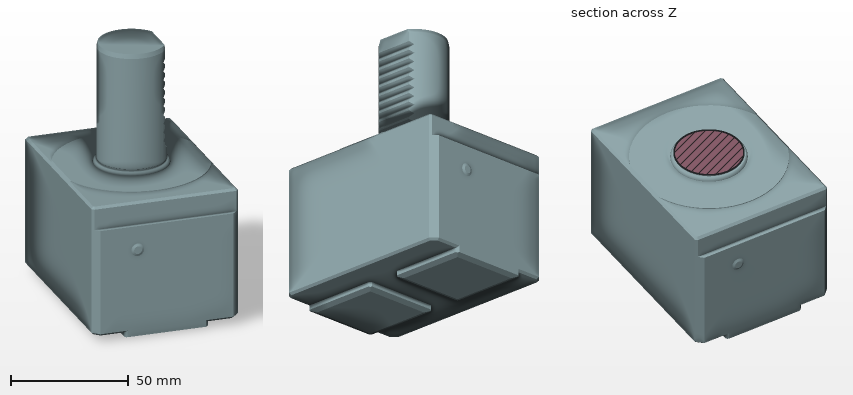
import cadquery as cq
import math


shank_radius = 15.0
shank_height = 55.0
shank_lead_in_height = 2.0
shank_lead_in_depth = 0.54

relief_top = 2.4
relief_bottom = 1.6
relief_depth = 0.15
ring_radius = 16.5
ring_section_radius = 2.0

flat_offset = 12.0
tooth_depth = 1.5
tooth_pitch = 4.0
tooth_gap_count = 10
lowest_gap_height = 11.7
flat_runout_bottom = 5.8

body_length = 90.0
body_width = 66.0
body_top = -0.4
body_bottom = -59.0
corner_chamfer = 3.0
edge_chamfer = 1.0
side_step_depth = 2.0
side_step_bottom = -10.7

seat_radius = 34.0
seat_width = body_width - 2 * edge_chamfer

cap_size = 37.6
cap_corner_chamfer = 1.1
cap_top = -57.2
cap_bottom = -62.0
cap_edge_height = 1.0
cap_edge_inset = 2.7
cap_center_x = (body_length - cap_size) / 2

nozzle_diameter = 5.7
nozzle_tip_diameter = 3.5
nozzle_projection = 0.565
nozzle_offset_y = 13.2
nozzle_height = -21.5


def make_body():
    """Block with chamfered corners and edges, stepped in at the top of both ends."""
    height = body_top - body_bottom
    block = (
        cq.Workplane("XY", origin=(0, 0, body_bottom))
        .rect(body_length, body_width)
        .extrude(height)
        .edges("|Z")
        .chamfer(corner_chamfer)
        .faces("<Z")
        .chamfer(edge_chamfer)
    )
    step_height = body_top - side_step_bottom
    step_center_x = (body_length - side_step_depth) / 2
    steps = (
        cq.Workplane("XY", origin=(0, 0, side_step_bottom))
        .pushPoints([(-step_center_x, 0), (step_center_x, 0)])
        .rect(side_step_depth, body_width)
        .extrude(step_height)
    )
    return block.cut(steps).faces(">Z").chamfer(edge_chamfer)


def make_seat():
    """Thin round seating face, trimmed so that the long edge chamfers of the body run up its sides."""
    seat_height = -body_top
    disc = cq.Workplane("XY", origin=(0, 0, body_top)).circle(seat_radius).extrude(seat_height)
    trim = (
        cq.Workplane("XY")
        .box(2 * seat_radius, seat_width, 2 * seat_height, centered=(True, True, False))
        .translate((0, 0, -2 * seat_height))
        .edges("|X and >Z")
        .chamfer(seat_height)
    )
    return disc.intersect(trim)


def make_shank():
    """Turned shank with a tapered top, a shallow relief and, at its foot, a seal ring
    whose round section is centred on the seating face."""
    relief_radius = shank_radius - relief_depth
    ring_center_radius = ring_radius - ring_section_radius
    ring_top_radius = ring_center_radius + math.sqrt(ring_section_radius**2 - relief_bottom**2)
    profile = (
        cq.Workplane("XZ")
        .moveTo(0, body_top)
        .lineTo(ring_radius, body_top)
        .lineTo(ring_radius, 0)
        .radiusArc((ring_top_radius, relief_bottom), -ring_section_radius)
        .lineTo(relief_radius, relief_bottom)
        .lineTo(relief_radius, relief_top - relief_depth)
        .lineTo(shank_radius, relief_top)
        .lineTo(shank_radius, shank_height - shank_lead_in_height)
        .lineTo(shank_radius - shank_lead_in_depth, shank_height)
        .lineTo(0, shank_height)
        .close()
    )
    return profile.revolve(360, (0, 0, 0), (0, 1, 0))


def make_tooth_cutter():
    """Everything removed on the +Y side of the shank: the flat, its 45 degree run-out and V gaps."""
    flat_depth = shank_radius - flat_offset
    outline = (
        cq.Workplane("YZ", origin=(-shank_radius, 0, 0))
        .moveTo(shank_radius, flat_runout_bottom)
        .lineTo(flat_offset, flat_runout_bottom + flat_depth)
    )
    for index in range(tooth_gap_count):
        gap_height = lowest_gap_height + index * tooth_pitch
        outline = (
            outline.lineTo(flat_offset, gap_height - tooth_depth)
            .lineTo(flat_offset - tooth_depth, gap_height)
            .lineTo(flat_offset, gap_height + tooth_depth)
        )
    outline = outline.lineTo(flat_offset, shank_height).lineTo(shank_radius, shank_height).close()
    return outline.extrude(2 * shank_radius)


def make_cap(center_x):
    """Square cap with bevelled corners and a shallow bevel around its underside."""
    return (
        cq.Workplane("XY", origin=(center_x, 0, cap_bottom))
        .rect(cap_size, cap_size)
        .extrude(cap_top - cap_bottom)
        .faces("<Z")
        .chamfer(cap_edge_height, cap_edge_inset)
        .edges("|Z")
        .chamfer(cap_corner_chamfer)
    )


def make_nozzle(side):
    """Low tapered nozzle on the end face at side = -1 (-X) or +1 (+X), with a flat tip."""
    base = cq.Workplane("YZ", origin=(side * body_length / 2, -side * nozzle_offset_y, nozzle_height))
    tip_distance = side * nozzle_projection
    return (
        base.circle(nozzle_diameter / 2)
        .workplane(offset=tip_distance)
        .circle(nozzle_tip_diameter / 2)
        .loft(ruled=True)
    )


shank = make_shank().cut(make_tooth_cutter())
result = make_body().union(make_seat()).union(shank)

caps = [make_cap(side * cap_center_x) for side in (-1, 1)]
for cap in caps:
    result = result.cut(cap)
for cap in caps:
    result = result.union(cap, clean=False)

for side in (-1, 1):
    result = result.union(make_nozzle(side), clean=False)